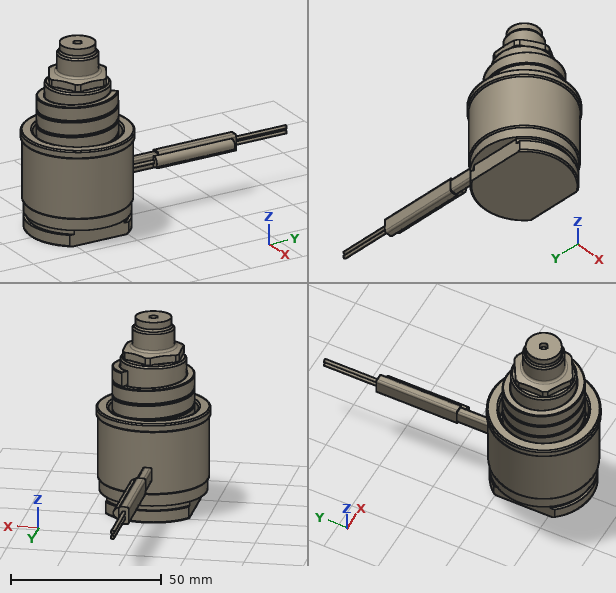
import cadquery as cq
import math

foot_top = 4.3
groove_top = 6.1
base_top = 10.1
bezel_bottom = 32.0
bezel_top = 35.0
bezel_recess_floor = 27.0
collar_top = 52.3
nut_bottom = 52.8
nut_top = 56.1
spindle_top = 63.0
total_height = 66.2

foot_radius = 18.0
foot_chamfer = 0.5
groove_radius = 17.0
flats_width = 28.0
body_radius = 18.5
body_chamfer = 0.5
bezel_radius = 19.0
bezel_chamfer = 0.5
bezel_recess_radius = 14.9
bezel_recess_chamfer = 0.6

collar_radius = 11.0
collar_chamfer = 0.6
thread_radius = 13.7
thread_pitch = 5.25
thread_gap = 0.25
thread_chamfer = 0.3
thread_embed = 0.5
thread_turns = 5
thread_end_angle = 50.0
thread_top_at_zero = 48.95

neck_radius = 8.4
washer_radius = 8.9
washer_thickness = 0.25
nut_across_flats = 19.0
nut_corner_radius = 10.5
nut_cone_radius = 7.8
nut_cone_drop = 0.9
spindle_radius = 7.0
spindle_root_flare = 0.8
spindle_chamfer = 0.6
tip_root_cone_height = 0.8
tip_radius = 6.0
ball_radius = 1.4
ball_drop = 1.0

cable_z = 17.2
cable_root_y = 15.0
cable_x = -1.35
cable_width = 3.0
cable_height = 5.0
cable_round = 0.7
sleeve_start_y = 30.9
sleeve_length = 30.0
sleeve_width = 3.5
sleeve_height = 6.0
sleeve_round = 0.8
wire_tip_y = 81.0
wire_radius = 0.6
wire_spacing = 1.8
side_sleeve_x = 0.5
side_sleeve_radius = 2.0
side_sleeve_start_y = 29.1
side_wire_x = 0.2
side_wire_radius = 0.65


def cylinder(radius, bottom, top):
    return cq.Workplane("XY").workplane(offset=bottom).circle(radius).extrude(top - bottom)


def make_foot():
    """Grooved foot with two parallel flats."""
    foot = cylinder(foot_radius, 0, foot_top).faces("<Z").chamfer(foot_chamfer)
    foot = foot.union(cylinder(groove_radius, foot_top, groove_top))
    flats = cq.Workplane("XY").box(flats_width, 2 * foot_radius, groove_top, centered=(True, True, False))
    return foot.intersect(flats)


def make_body():
    """Base ring, main body and bezel with an annular recess around the collar."""
    base = cylinder(foot_radius, groove_top, base_top)
    body = cylinder(body_radius, base_top, bezel_bottom).faces("<Z").chamfer(body_chamfer)
    bezel = cylinder(bezel_radius, bezel_bottom, bezel_top).faces("<Z or >Z").chamfer(bezel_chamfer)
    recess = cylinder(bezel_recess_radius, bezel_recess_floor, bezel_top)
    body = base.union(body).union(bezel).cut(recess)
    return body.edges(cq.selectors.RadiusNthSelector(0)).edges(">Z").chamfer(bezel_recess_chamfer)


def make_thread():
    """Right-handed helical ridge, chamfered at crest and root.

    It starts inside the solid body and ends below the collar top.
    """
    turns = thread_turns + thread_end_angle / 360
    half_width = (thread_pitch - thread_gap) / 2
    half_edge = half_width - thread_chamfer
    half_root = half_edge - thread_embed
    start_z = thread_top_at_zero - thread_turns * thread_pitch - half_width
    path = cq.Wire.makeHelix(thread_pitch, turns * thread_pitch, thread_radius).translate(
        cq.Vector(0, 0, start_z)
    )
    embedded_radius = collar_radius - thread_embed
    profile = (
        cq.Workplane("XZ")
        .moveTo(embedded_radius, start_z - half_root)
        .lineTo(collar_radius + thread_chamfer, start_z - half_width)
        .lineTo(thread_radius - thread_chamfer, start_z - half_width)
        .lineTo(thread_radius, start_z - half_edge)
        .lineTo(thread_radius, start_z + half_edge)
        .lineTo(thread_radius - thread_chamfer, start_z + half_width)
        .lineTo(collar_radius + thread_chamfer, start_z + half_width)
        .lineTo(embedded_radius, start_z + half_root)
        .close()
    )
    return profile.sweep(path, isFrenet=True)


def make_collar():
    """Chamfered collar carrying the helical thread."""
    collar = cylinder(collar_radius, base_top, collar_top).faces(">Z").chamfer(collar_chamfer)
    return collar.union(make_thread())


def make_nut():
    """Hexagon with rounded-off corners and a conical top, standing on a thin washer face and neck."""
    hexagon = (
        cq.Workplane("XY")
        .workplane(offset=nut_bottom)
        .transformed(rotate=(0, 0, 30))
        .polygon(6, nut_across_flats / math.cos(math.pi / 6))
        .extrude(nut_top - nut_bottom)
    )
    envelope = (
        cq.Workplane("XZ")
        .moveTo(0, nut_bottom)
        .lineTo(nut_corner_radius, nut_bottom)
        .lineTo(nut_corner_radius, nut_top - nut_cone_drop)
        .lineTo(nut_cone_radius, nut_top)
        .lineTo(0, nut_top)
        .close()
        .revolve(360, (0, 0), (0, 1))
    )
    neck = cylinder(neck_radius, collar_top, nut_bottom)
    washer = cylinder(washer_radius, nut_bottom - washer_thickness, nut_bottom)
    return hexagon.intersect(envelope).union(neck).union(washer)


def make_spindle():
    """Stepped spindle with a flared root and a ball seated in a socket in its tip."""
    ball_centre_z = total_height - ball_drop - ball_radius
    return (
        cq.Workplane("XZ")
        .moveTo(0, nut_top)
        .lineTo(spindle_radius + spindle_root_flare, nut_top)
        .radiusArc((spindle_radius, nut_top + spindle_root_flare), spindle_root_flare)
        .lineTo(spindle_radius, spindle_top - spindle_chamfer)
        .lineTo(spindle_radius - spindle_chamfer, spindle_top)
        .lineTo(tip_radius, spindle_top + tip_root_cone_height)
        .lineTo(tip_radius, total_height)
        .lineTo(ball_radius, total_height)
        .lineTo(ball_radius, ball_centre_z)
        .radiusArc((0, total_height - ball_drop), -ball_radius)
        .close()
        .revolve(360, (0, 0), (0, 1))
    )


def rounded_bar(x, width, height, corner, start_y, end_y):
    """Rectangular bar along Y with rounded long edges, centred at the cable height."""
    bar = cq.Workplane("XY").box(width, end_y - start_y, height, centered=(True, False, True))
    return bar.edges("|Y").fillet(corner).translate((x, start_y, cable_z))


def round_bar(x, z, radius, start_y, end_y):
    """Round bar along Y."""
    bar = cq.Workplane("XZ").circle(radius).extrude(start_y - end_y)
    return bar.translate((x, start_y, z))


def make_cables():
    """Flat cable in a sleeve with two bare wires, and a round sleeved wire beside it."""
    sleeve_end_y = sleeve_start_y + sleeve_length
    side_sleeve_end_y = side_sleeve_start_y + sleeve_length
    cables = rounded_bar(cable_x, cable_width, cable_height, cable_round, cable_root_y, sleeve_end_y)
    cables = cables.union(
        rounded_bar(cable_x, sleeve_width, sleeve_height, sleeve_round, sleeve_start_y, sleeve_end_y)
    )
    for side in (-1, 1):
        wire_z = cable_z + side * wire_spacing / 2
        cables = cables.union(round_bar(cable_x, wire_z, wire_radius, sleeve_start_y, wire_tip_y))
    cables = cables.union(
        round_bar(side_sleeve_x, cable_z, side_sleeve_radius, side_sleeve_start_y, side_sleeve_end_y)
    )
    return cables.union(
        round_bar(side_wire_x, cable_z, side_wire_radius, cable_root_y, side_sleeve_end_y)
    )


result = (
    make_foot()
    .union(make_body())
    .union(make_collar())
    .union(make_nut())
    .union(make_spindle())
    .union(make_cables())
)